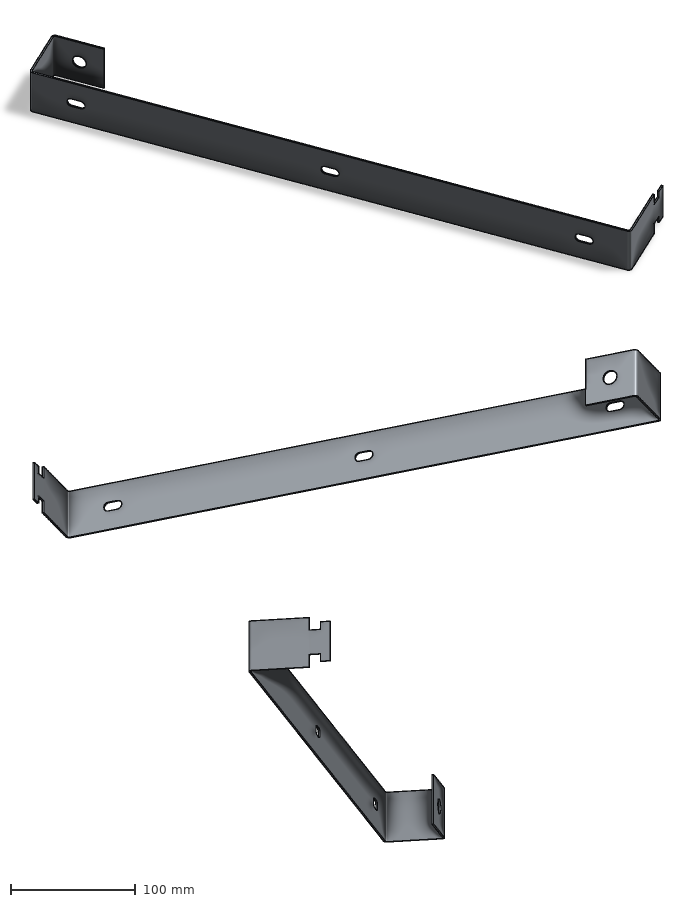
import cadquery as cq

total_length = 521.0
total_depth = 67.0
height = 41.0
thickness = 1.5
bend_radius = 3.0
hook_lean = 0.5
strip_length = total_length - hook_lean

flange_depth = 50.0
lip_length = 45.0

neck_height = 20.5
head_height = 33.0
head_depth = 8.0

slot_length = 15.5
slot_height = 8.0
slot_pitch = 220.0
slot_count = 3
lip_hole_diameter = 12.0
lip_hole_x = 23.5

mid_height = height / 2
right_flange_x = strip_length - thickness


def box(x, y, z_size, x_size, y_size):
    """Box from a plan corner, centred on the mid height of the sheet."""
    return (
        cq.Workplane("XY")
        .box(x_size, y_size, z_size, centered=(False, False, True))
        .translate((x, y, mid_height))
    )


def bent_strip():
    """Full-height sheet with rounded bends at its three corners."""
    outer = (
        cq.Workplane("XY")
        .rect(strip_length, flange_depth, centered=False)
        .extrude(height)
        .edges("|Z and (<X or <Y)")
        .fillet(bend_radius)
    )
    inner = (
        cq.Workplane("XY")
        .rect(strip_length - 2 * thickness, flange_depth - 2 * thickness, centered=False)
        .extrude(height)
        .edges("|Z and (<X or <Y)")
        .fillet(bend_radius - thickness)
        .translate((thickness, thickness, 0))
    )
    opening_length = right_flange_x - lip_length
    opening_depth = flange_depth / 2
    opening = box(lip_length, flange_depth - opening_depth, height, opening_length, opening_depth)
    return outer.cut(inner).cut(opening)


def hook():
    """T-shaped end of the right flange, leaning slightly outward towards its tip."""
    leaning_sheet = (
        cq.Workplane("XY")
        .moveTo(right_flange_x, flange_depth)
        .lineTo(strip_length, flange_depth)
        .lineTo(total_length, total_depth)
        .lineTo(total_length - thickness, total_depth)
        .close()
        .extrude(height)
    )
    hook_x = right_flange_x
    hook_width = total_length - right_flange_x
    neck = box(hook_x, flange_depth, neck_height, hook_width, total_depth - flange_depth)
    head = box(hook_x, total_depth - head_depth, head_height, hook_width, head_depth)
    return leaning_sheet.intersect(neck.union(head))


def mounting_slots():
    """Cutters for the row of slots along the front strip."""
    return (
        cq.Workplane("XZ", origin=(strip_length / 2, 0, mid_height))
        .rarray(slot_pitch, slot_pitch, slot_count, 1)
        .slot2D(slot_length, slot_height)
        .extrude(-thickness)
    )


def lip_hole():
    """Cutter for the round hole in the return lip."""
    return (
        cq.Workplane("XZ", origin=(lip_hole_x, flange_depth - thickness, mid_height))
        .circle(lip_hole_diameter / 2)
        .extrude(-thickness)
    )


right_flange = box(right_flange_x, flange_depth / 2, height, thickness, flange_depth / 2)
bracket = bent_strip().union(right_flange).union(hook())
result = bracket.cut(mounting_slots()).cut(lip_hole())